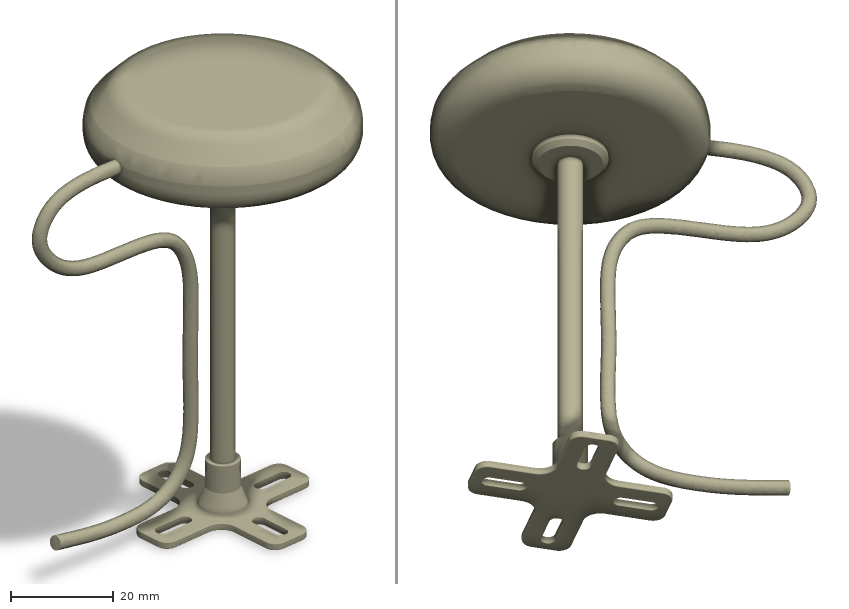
import cadquery as cq

TOTAL_HEIGHT = 95.0

HOUSING_DIAMETER = 55.0
HOUSING_HEIGHT = 15.0
HOUSING_CHAMFER = 6.2
HOUSING_TOP_FILLET = 5.0
HOUSING_BOTTOM_FILLET = 4.75
BOSS_DIAMETER = 15.0
BOSS_HEIGHT = 2.0
BOSS_CHAMFER = 1.0

POLE_DIAMETER = 5.0

PLATE_SPAN = 40.0
PLATE_THICKNESS = 1.5
ARM_WIDTH = 10.0
ARM_CORNER_RADIUS = 2.5
CROSS_INNER_RADIUS = 3.5
PLATE_EDGE_FILLET = 0.2
SLOT_LENGTH = 9.0
SLOT_WIDTH = 2.85
SLOT_CENTER_RADIUS = 13.4
ARM_COUNT = 4
SOCKET_DIAMETER = 7.0
FLARE_DIAMETER = 10.2
FLARE_HEIGHT = 4.0
FLARE_FOOT_FILLET = 0.3
SOCKET_TOP = 11.5

CABLE_DIAMETER = 3.0
CABLE_X = -1.5
CABLE_ENTRY_DEPTH = 2.0
CABLE_ENTRY_Z = 85.8
CABLE_BEND_POINTS = [
    (-31.35, 86.0),
    (-38.95, 85.5),
    (-45.1, 83.0),
    (-48.2, 77.5),
    (-45.4, 71.7),
    (-38.95, 67.5),
    (-29.9, 66.2),
    (-19.8, 65.8),
    (-12.3, 63.65),
    (-8.5, 58.3),
    (-7.2, 49.9),
    (-7.4, 35.15),
    (-7.3, 20.9),
    (-8.9, 13.5),
    (-14.2, 8.1),
    (-23.75, 6.1),
    (-33.25, 6.6),
    (-43.9, 8.3),
]

HOUSING_BOTTOM = TOTAL_HEIGHT - HOUSING_HEIGHT
BOSS_BOTTOM = HOUSING_BOTTOM - BOSS_HEIGHT
CABLE_START_Y = CABLE_ENTRY_DEPTH - HOUSING_DIAMETER / 2


def make_housing():
    disc = (
        cq.Workplane("XY", origin=(0, 0, HOUSING_BOTTOM))
        .circle(HOUSING_DIAMETER / 2)
        .extrude(HOUSING_HEIGHT)
        .faces(">Z")
        .chamfer(HOUSING_CHAMFER)
        .edges("not <Z")
        .edges("%CIRCLE")
        .fillet(HOUSING_TOP_FILLET)
        .faces("<Z")
        .edges()
        .fillet(HOUSING_BOTTOM_FILLET)
    )
    boss = (
        cq.Workplane("XY", origin=(0, 0, BOSS_BOTTOM))
        .circle(BOSS_DIAMETER / 2)
        .extrude(BOSS_HEIGHT)
        .faces("<Z")
        .edges()
        .chamfer(BOSS_CHAMFER)
    )
    return disc.union(boss).cut(make_cable())


def make_pole():
    """Pole from the floor of the base socket up to the housing boss."""
    return (
        cq.Workplane("XY", origin=(0, 0, PLATE_THICKNESS))
        .circle(POLE_DIAMETER / 2)
        .extrude(BOSS_BOTTOM - PLATE_THICKNESS)
    )


def plate_bar(length_x, length_y):
    """Flat bar with rounded corners, centred on the pole axis."""
    bar = cq.Workplane("XY").rect(length_x, length_y).extrude(PLATE_THICKNESS)
    return bar.edges("|Z").fillet(ARM_CORNER_RADIUS)


def make_plate():
    cross = plate_bar(PLATE_SPAN, ARM_WIDTH).union(plate_bar(ARM_WIDTH, PLATE_SPAN))
    inner_corners = cq.selectors.BoxSelector(
        (-ARM_WIDTH, -ARM_WIDTH, -PLATE_THICKNESS), (ARM_WIDTH, ARM_WIDTH, 2 * PLATE_THICKNESS)
    )
    cross = cross.edges("|Z").edges(inner_corners).fillet(CROSS_INNER_RADIUS)
    cross = cross.faces("|Z").edges().fillet(PLATE_EDGE_FILLET)
    slots = (
        cq.Workplane("XY")
        .polarArray(SLOT_CENTER_RADIUS, 0, 360, ARM_COUNT)
        .slot2D(SLOT_LENGTH, SLOT_WIDTH)
        .extrude(PLATE_THICKNESS)
    )
    return cross.cut(slots)


def make_base():
    flare_top = PLATE_THICKNESS + FLARE_HEIGHT
    socket = (
        cq.Workplane("XZ")
        .moveTo(0, PLATE_THICKNESS)
        .lineTo(FLARE_DIAMETER / 2, PLATE_THICKNESS)
        .lineTo(SOCKET_DIAMETER / 2, flare_top)
        .lineTo(SOCKET_DIAMETER / 2, SOCKET_TOP)
        .lineTo(0, SOCKET_TOP)
        .close()
        .revolve()
    )
    base = make_plate().union(socket)
    base = base.faces("%CONE").edges("<Z").fillet(FLARE_FOOT_FILLET)
    return base.cut(make_pole())


def make_cable():
    cable_start = (CABLE_START_Y, CABLE_ENTRY_Z)
    path = cq.Workplane("YZ", origin=(CABLE_X, 0, 0)).spline([cable_start] + CABLE_BEND_POINTS)
    start_plane = cq.Plane(path.val().startPoint(), xDir=(1, 0, 0), normal=path.val().tangentAt(0))
    return cq.Workplane(start_plane).circle(CABLE_DIAMETER / 2).sweep(path)


housing = make_housing()
pole = make_pole()
base = make_base()
cable = make_cable()

result = cq.Compound.makeCompound([housing.val(), pole.val(), base.val(), cable.val()])